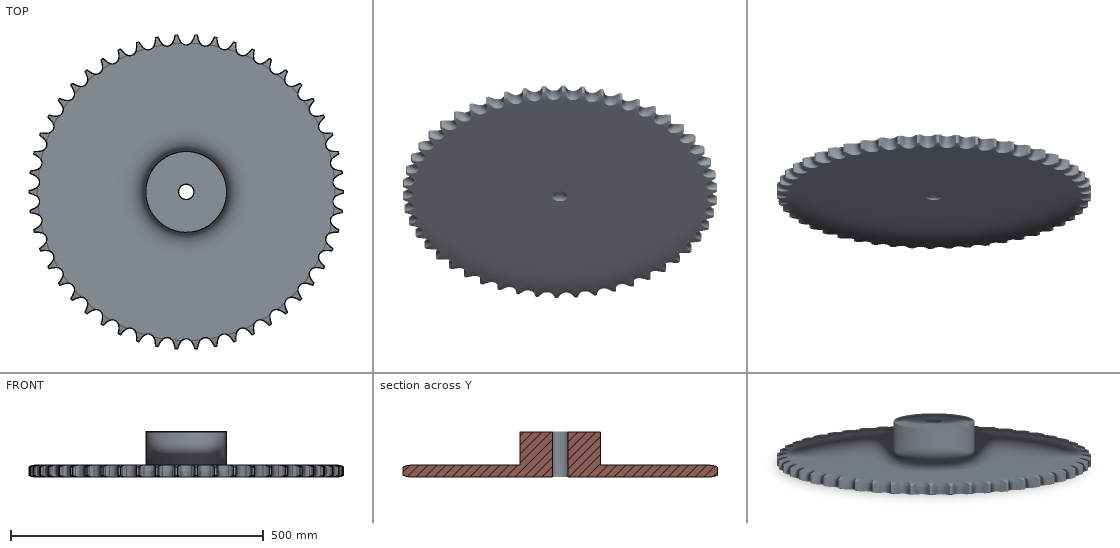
import cadquery as cq
import math

TEETH = 50
TIP_DIAMETER = 622.0
PITCH_DIAMETER = 607.0
PLATE_THICKNESS = 24.0
BEVEL_INNER_DIAMETER = 587.5
BEVEL_ARC_RADIUS = 40.5
GAP_OVERCUT = 0.5

HUB_DIAMETER = 160.0
BORE_DIAMETER = 30.0
TOTAL_HEIGHT = 90.0

TOOTH_ANGLE = 2 * math.pi / TEETH
TIP_RADIUS = TIP_DIAMETER / 2
PITCH_RADIUS = PITCH_DIAMETER / 2
CHAIN_PITCH = PITCH_DIAMETER * math.sin(TOOTH_ANGLE / 2)
ROLLER_DIAMETER = CHAIN_PITCH * 2 / 3
SEAT_RADIUS = 1.005 * ROLLER_DIAMETER / 2
SEAT_END_ANGLE = math.radians(35 + 60 / TEETH)
WORKING_SWEEP = math.radians(18 - 56 / TEETH)
WORKING_CENTRE_DISTANCE = 0.8 * ROLLER_DIAMETER
WORKING_RADIUS = SEAT_RADIUS + WORKING_CENTRE_DISTANCE
TOPPING_CENTRE_DISTANCE = 1.4 * ROLLER_DIAMETER


def polar(centre, radius, angle):
    return centre[0] + radius * math.cos(angle), centre[1] + radius * math.sin(angle)


def mirrored(point):
    return point[0], -point[1]


def bevelled_disc():
    """Solid disc whose rim curves away from both faces along tangent arcs."""
    inner = BEVEL_INNER_DIAMETER / 2
    middle = (inner + TIP_RADIUS) / 2

    def bevel_drop(radius):
        return BEVEL_ARC_RADIUS - math.sqrt(BEVEL_ARC_RADIUS**2 - (radius - inner) ** 2)

    return (
        cq.Workplane("XZ")
        .lineTo(inner, 0)
        .threePointArc((middle, bevel_drop(middle)), (TIP_RADIUS, bevel_drop(TIP_RADIUS)))
        .lineTo(TIP_RADIUS, PLATE_THICKNESS - bevel_drop(TIP_RADIUS))
        .threePointArc((middle, PLATE_THICKNESS - bevel_drop(middle)), (inner, PLATE_THICKNESS))
        .lineTo(0, PLATE_THICKNESS)
        .close()
        .revolve(360, (0, 0), (0, 1))
    )


def tooth_gap():
    """Cutter for one gap, on +X: roller seat, hollow working arcs, straights, rounded tips."""
    roller = (PITCH_RADIUS, 0)
    seat_bottom = (PITCH_RADIUS - SEAT_RADIUS, 0)

    seat_end_direction = math.pi / 2 + SEAT_END_ANGLE
    working_end_direction = seat_end_direction - WORKING_SWEEP
    working_middle_direction = seat_end_direction - WORKING_SWEEP / 2
    seat_end = polar(roller, SEAT_RADIUS, seat_end_direction)
    working_centre = polar(roller, -WORKING_CENTRE_DISTANCE, seat_end_direction)
    working_middle = polar(working_centre, WORKING_RADIUS, working_middle_direction)
    working_end = polar(working_centre, WORKING_RADIUS, working_end_direction)

    topping_centre = polar(roller, TOPPING_CENTRE_DISTANCE, math.pi / 2 + TOOTH_ANGLE / 2)
    offset_x = topping_centre[0] - working_end[0]
    offset_y = topping_centre[1] - working_end[1]
    topping_radius = offset_x * math.cos(working_end_direction) + offset_y * math.sin(working_end_direction)
    topping_start = polar(topping_centre, -topping_radius, working_end_direction)

    def topping_point(x):
        return x, topping_centre[1] - math.sqrt(topping_radius**2 - (x - topping_centre[0]) ** 2)

    outer_x = TIP_RADIUS + GAP_OVERCUT
    topping_middle = topping_point((topping_start[0] + outer_x) / 2)
    topping_end = topping_point(outer_x)

    return (
        cq.Workplane("XY")
        .moveTo(*mirrored(seat_end))
        .threePointArc(seat_bottom, seat_end)
        .threePointArc(working_middle, working_end)
        .lineTo(*topping_start)
        .threePointArc(topping_middle, topping_end)
        .lineTo(*mirrored(topping_end))
        .threePointArc(mirrored(topping_middle), mirrored(topping_start))
        .lineTo(*mirrored(working_end))
        .threePointArc(mirrored(working_middle), mirrored(seat_end))
        .close()
        .extrude(PLATE_THICKNESS)
    )


def toothed_plate():
    """Bevelled disc with the gaps cut so that one tooth is centred on +X."""
    gap = tooth_gap()
    gap_angles = [math.degrees((i + 0.5) * TOOTH_ANGLE) for i in range(TEETH)]
    gaps = [gap.rotate((0, 0, 0), (0, 0, 1), angle).val() for angle in gap_angles]
    return cq.Workplane(bevelled_disc().val().cut(*gaps))


hub = cq.Workplane("XY").circle(HUB_DIAMETER / 2).extrude(TOTAL_HEIGHT)
bore = cq.Workplane("XY").circle(BORE_DIAMETER / 2).extrude(TOTAL_HEIGHT)

result = toothed_plate().union(hub).cut(bore)